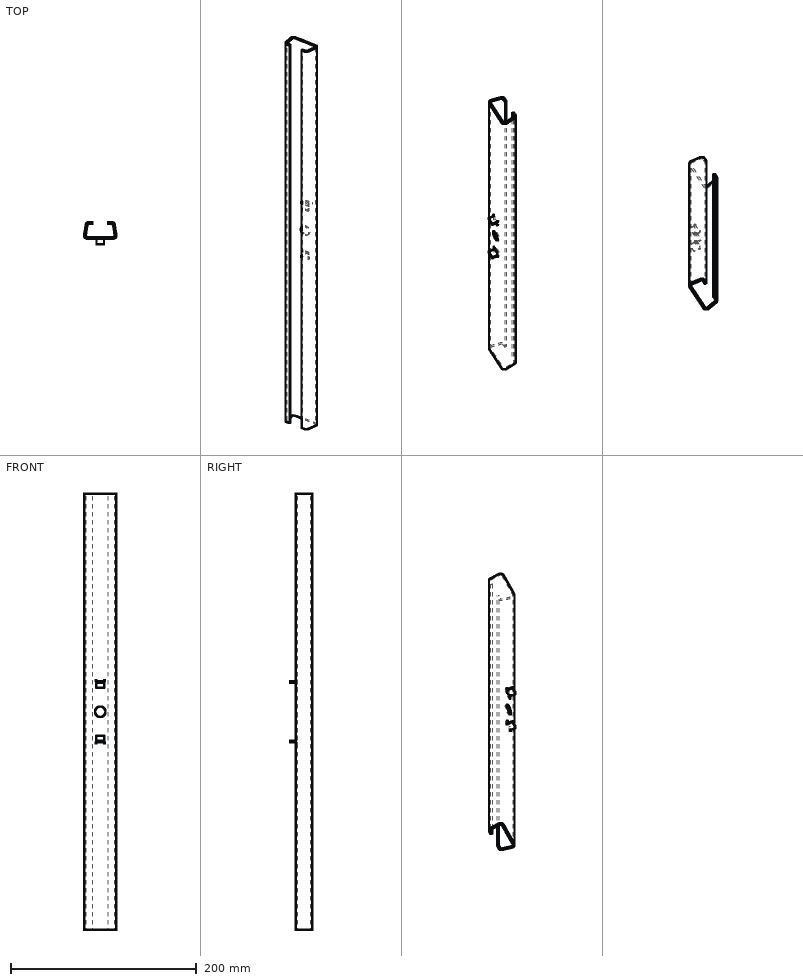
import cadquery as cq
import math

length = 470.0
width = 35.0
channel_depth = 18.0
thickness = 2.0

base_bend_radius = 3.7
lip_bend_radius = 3.4
wall_angle = math.radians(9.0)
lip_opening = 16.6
lip_overrun = 1.0

hole_diameter = 11.0
hole_height = length / 2

overall_depth = 24.0
tab_projection = overall_depth - channel_depth
tab_width = 8.4
tab_offset = 32.0
tab_inner_radius = 1.0
tab_outer_radius = tab_inner_radius + thickness
tab_near_face = tab_offset - thickness / 2
tab_far_face = tab_offset + thickness / 2
bend_end = tab_far_face + tab_inner_radius

window_start = 26.0
relief_width = 10.0
relief_height = 1.0


def channel_outline(inset):
    """Corners of the four-sided section, offset inward by inset."""
    bend_centre = width / 2 - base_bend_radius
    wall_radius = base_bend_radius - inset

    def half_width(y):
        lean = (base_bend_radius - y) * math.sin(wall_angle)
        return bend_centre + (wall_radius + lean) / math.cos(wall_angle)

    front = inset
    back = channel_depth - inset
    return [
        (-half_width(front), front),
        (half_width(front), front),
        (half_width(back), back),
        (-half_width(back), back),
    ]


def rounded_prism(inset):
    """Full-length prism of the offset section with its long edges rounded."""
    prism = cq.Workplane("XY").polyline(channel_outline(inset)).close().extrude(length)
    prism = prism.faces("<Y").edges("|Z").fillet(base_bend_radius - inset)
    return prism.faces(">Y").edges("|Z").fillet(lip_bend_radius - inset)


def block(x_size, y_range, z_range):
    """Box centred on X = 0 that fills the given Y and Z ranges."""
    y_start, y_end = y_range
    z_start, z_end = z_range
    box = cq.Workplane("XY").box(x_size, y_end - y_start, z_end - z_start)
    return box.translate((0, (y_start + y_end) / 2, (z_start + z_end) / 2))


def make_channel():
    """Base with its front face at Y = 0, side walls leaning inward, lips at the back."""
    channel = rounded_prism(0).cut(rounded_prism(thickness))
    gap = block(lip_opening, (channel_depth / 2, channel_depth + lip_overrun), (0, length))
    return channel.cut(gap)


def cut_round_hole(rail):
    drill = cq.Workplane("XZ").circle(hole_diameter / 2).extrude(-thickness)
    return rail.cut(drill.translate((0, 0, hole_height)))


def tab_opening():
    """Window and bend relief through the base; Z is measured from the round hole."""
    base = (0, thickness)
    window = block(tab_width, base, (window_start, bend_end))
    relief = block(relief_width, base, (bend_end - relief_height, bend_end))
    return window.union(relief)


def bent_tab():
    """Tab leaving the base through a quarter bend; Z is measured from the round hole."""
    bend_y = -tab_inner_radius

    def bend_middle(radius):
        reach = radius * math.sqrt(0.5)
        return (bend_y + reach, bend_end - reach)

    profile = (
        cq.Workplane("YZ")
        .moveTo(-tab_projection, tab_near_face)
        .lineTo(bend_y, tab_near_face)
        .threePointArc(bend_middle(tab_outer_radius), (thickness, bend_end))
        .lineTo(0, bend_end)
        .threePointArc(bend_middle(tab_inner_radius), (bend_y, tab_far_face))
        .lineTo(-tab_projection, tab_far_face)
        .close()
    )
    return profile.extrude(tab_width / 2, both=True)


def add_tabs(rail):
    """Cut both tab openings and add both tabs, mirrored about the round hole."""
    hole_centre = (0, 0, hole_height)
    openings = tab_opening()
    openings = openings.union(openings.mirror("XY")).translate(hole_centre)
    tab = bent_tab()
    rail = rail.cut(openings)
    for each_tab in (tab, tab.mirror("XY")):
        rail = rail.union(each_tab.translate(hole_centre))
    return rail


result = add_tabs(cut_round_hole(make_channel()))